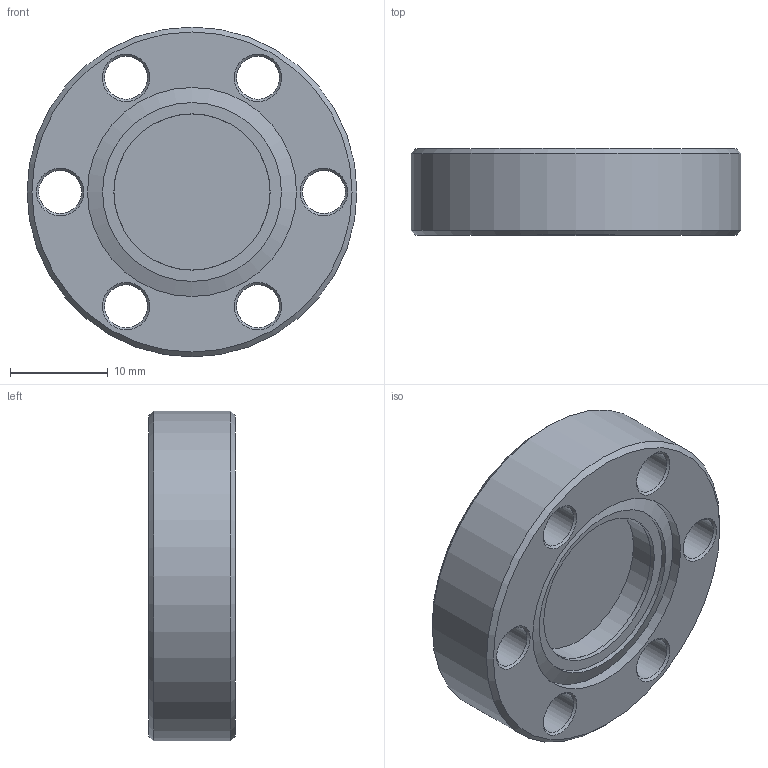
import cadquery as cq

flange_diameter = 33.78
flange_thickness = 8.86
rim_chamfer = 0.5

recess_diameter = 21.4
recess_depth = 1.1
knife_diameter = 18.3
knife_depth = 0.6
inner_floor_depth = 1.1
bore_mouth_diameter = 16.0
bore_mouth_depth = 1.6
bore_diameter = 15.98
bore_depth = 4.1

bolt_count = 6
bolt_circle_diameter = 27.0
bolt_hole_diameter = 4.4
bolt_hole_chamfer = 0.23
countersink_angle = 90

full_turn = 360

flange_radius = flange_diameter / 2
recess_radius = recess_diameter / 2
knife_radius = knife_diameter / 2
bore_mouth_radius = bore_mouth_diameter / 2
bore_radius = bore_diameter / 2
seal_face_y = -flange_thickness / 2


def make_disc():
    """Solid disc centred on the origin, chamfered on both rims."""
    back_face = cq.Workplane("XZ", origin=(0, -seal_face_y, 0))
    disc = back_face.circle(flange_radius).extrude(flange_thickness)
    return disc.edges().chamfer(rim_chamfer)


def make_seal_recess():
    """Revolved cavity: outer wall, cone rising to the knife edge, inner floor and stepped blind bore."""
    profile = (
        cq.Workplane("YZ")
        .moveTo(seal_face_y, 0)
        .lineTo(seal_face_y, recess_radius)
        .lineTo(seal_face_y + recess_depth, recess_radius)
        .lineTo(seal_face_y + knife_depth, knife_radius)
        .lineTo(seal_face_y + inner_floor_depth, knife_radius)
        .lineTo(seal_face_y + inner_floor_depth, bore_mouth_radius)
        .lineTo(seal_face_y + bore_mouth_depth, bore_mouth_radius)
        .lineTo(seal_face_y + bore_mouth_depth, bore_radius)
        .lineTo(seal_face_y + bore_depth, bore_radius)
        .lineTo(seal_face_y + bore_depth, 0)
        .close()
    )
    return profile.revolve(full_turn, (0, 0, 0), (1, 0, 0))


def drill_bolt_holes(body):
    """Ring of through holes, countersunk lightly on the seal side."""
    mouth_diameter = bolt_hole_diameter + 2 * bolt_hole_chamfer
    return (
        body.faces("<Y")
        .workplane(origin=(0, seal_face_y, 0))
        .polarArray(bolt_circle_diameter / 2, 0, full_turn, bolt_count)
        .cskHole(bolt_hole_diameter, mouth_diameter, countersink_angle)
    )


result = drill_bolt_holes(make_disc()).cut(make_seal_recess())